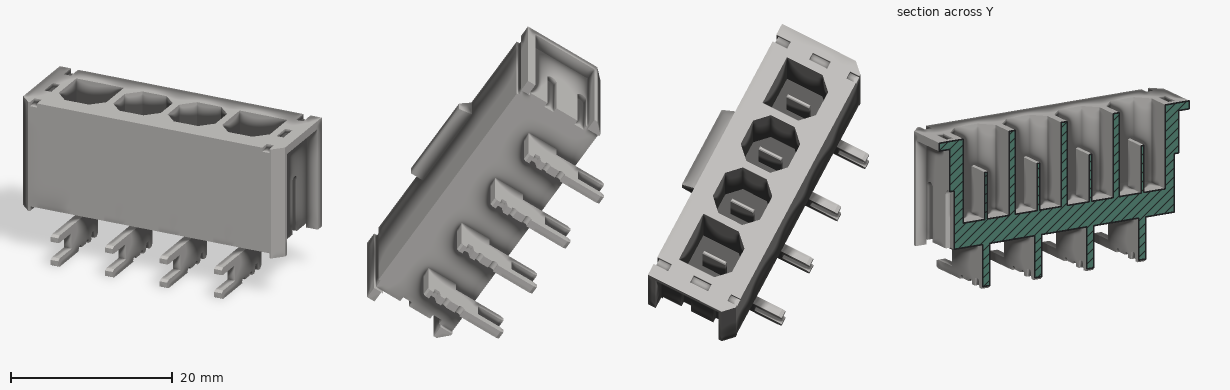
import cadquery as cq


length = 36.07
depth = 11.58
height = 14.7
corner_chamfer = 1.3
foot_height = 0.65
foot_length = 1.55
front_foot_depth = 1.73
rear_foot_depth = 1.3
middle_y = depth / 2
end_x = length / 2

recess_depth = 1.5
recess_front = front_foot_depth
recess_rear = 10.5
recess_top = 13.65
groove_width = 1.3
groove_top = 8.25
groove_depth = 0.65
groove_centers = (2.6, 7.05)

pitch = 7.5
contact_count = 4
cavity_width = 6.55
cavity_chamfer = 1.62
cavity_depth = 10.82

pocket_width = 0.97
pocket_depth = 0.55
pocket_center_x = end_x - foot_length - pocket_width / 2
pocket_spans = ((0, 1.3), (4.0, 6.5), (9.55, depth))
rear_channel_depth = 0.3

latch_base_width = 11.05
latch_tip_width = 10.75
latch_reach = 1.85
latch_top = 14.43
latch_tip_top = 12.45
latch_tip_bottom = 10.93
latch_bottom = 11.25

tail_thickness = 1.05
tail_rear = 7.35
tail_front = 3.25
tail_bottom = -5.1
fork_base = 0.0
prong_tip = -3.8
upper_prong_top = -0.85
upper_prong_bottom = -1.85
lower_prong_top = -3.95
tip_length = 0.45
tip_drop = 0.2
upper_prong_under_drop = 0.1
heel_width = 0.25
heel_height = 0.32
notch_top = -4.0
notch_top_edges = (6.4, 5.7)
notch_bottom_edges = (6.55, 5.5)
scallop_radius = 0.4
scallop_centers = (4.45, 2.38)
scallop_center_z = -4.9
scallop_flat = -4.87
blade_thickness = 0.45
blade_front = 4.22
blade_top = 10.1
blade_chamfer = 0.15


def box(x_range, y_range, z_range):
    """Box spanning the given ranges."""
    size = [high - low for low, high in (x_range, y_range, z_range)]
    return cq.Workplane("XY").box(*size, centered=False).translate((x_range[0], y_range[0], z_range[0]))


def profile_yz(points, thickness):
    """Side profile in the YZ plane, extruded equally to both sides of x = 0."""
    return cq.Workplane("YZ").polyline(points).close().extrude(thickness / 2, both=True)


def housing_block():
    block = box((-end_x, end_x), (0, depth), (0, height))
    block = block.edges("|Z and <Y").chamfer(corner_chamfer)
    foot_inner = end_x - foot_length
    block = block.cut(box((-foot_inner, foot_inner), (0, depth), (0, foot_height)))
    return block.cut(box((-end_x, end_x), (front_foot_depth, depth - rear_foot_depth), (0, foot_height)))


def left_end_recess():
    floor_x = -end_x + recess_depth
    recess = box((-end_x, floor_x), (recess_front, recess_rear), (0, recess_top))
    arch_z = groove_top - groove_width / 2
    for y in groove_centers:
        groove = box(
            (floor_x, floor_x + groove_depth),
            (y - groove_width / 2, y + groove_width / 2),
            (foot_height, arch_z),
        )
        arch = cq.Workplane("YZ", origin=(floor_x, y, arch_z)).circle(groove_width / 2).extrude(groove_depth)
        recess = recess.union(groove).union(arch)
    return recess


def left_pockets():
    x_range = (-pocket_center_x - pocket_width / 2, -pocket_center_x + pocket_width / 2)
    cutter = box(x_range, (depth - rear_channel_depth, depth), (0, height))
    for y_range in pocket_spans:
        cutter = cutter.union(box(x_range, y_range, (height - pocket_depth, height)))
    return cutter


def cavity(x, is_end):
    """Octagonal well; the end wells keep square rear corners."""
    half = cavity_width / 2
    well = box(
        (x - half, x + half),
        (middle_y - half, middle_y + half),
        (height - cavity_depth, height),
    )
    chamfered = "|Z and <Y" if is_end else "|Z"
    return well.edges(chamfered).chamfer(cavity_chamfer)


def latch():
    latch_tip_y = depth + latch_reach
    ramp = profile_yz(
        [
            (depth, latch_top),
            (latch_tip_y, latch_tip_top),
            (latch_tip_y, latch_tip_bottom),
            (depth, latch_bottom),
        ],
        latch_base_width,
    )
    taper = (
        cq.Workplane("XY")
        .polyline(
            [
                (-latch_base_width / 2, depth),
                (latch_base_width / 2, depth),
                (latch_tip_width / 2, latch_tip_y),
                (-latch_tip_width / 2, latch_tip_y),
            ]
        )
        .close()
        .extrude(height)
    )
    return ramp.intersect(taper)


def prong(top, bottom, under_drop):
    """Solder prong whose tip is bevelled by tip_drop above and under_drop below."""
    tip_start = prong_tip + tip_length
    return profile_yz(
        [
            (tail_front, top),
            (tip_start, top),
            (prong_tip, top - tip_drop),
            (prong_tip, bottom + under_drop),
            (tip_start, bottom),
            (tail_front, bottom),
        ],
        tail_thickness,
    )


def contact():
    body = profile_yz(
        [
            (tail_front, foot_height),
            (tail_front, upper_prong_top),
            (fork_base, upper_prong_top),
            (fork_base, tail_bottom),
            (tail_rear - heel_width, tail_bottom),
            (tail_rear, tail_bottom + heel_height),
            (tail_rear, foot_height),
        ],
        tail_thickness,
    )
    body = body.union(prong(upper_prong_top, upper_prong_bottom, upper_prong_under_drop))
    body = body.union(prong(lower_prong_top, tail_bottom, tip_drop))

    notch = profile_yz(
        [
            (notch_bottom_edges[0], tail_bottom),
            (notch_top_edges[0], notch_top),
            (notch_top_edges[1], notch_top),
            (notch_bottom_edges[1], tail_bottom),
        ],
        tail_thickness,
    )
    half = tail_thickness / 2
    body = body.cut(notch)
    body = body.cut(box((-half, half), scallop_centers[::-1], (tail_bottom, scallop_flat)))
    for y in scallop_centers:
        scallop = cq.Workplane("YZ", origin=(-half, y, scallop_center_z)).circle(scallop_radius)
        body = body.cut(scallop.extrude(tail_thickness))

    blade = box(
        (-blade_thickness / 2, blade_thickness / 2),
        (blade_front, tail_rear),
        (foot_height, blade_top),
    )
    return body.union(blade.faces(">Z").chamfer(blade_chamfer))


housing = housing_block()
for left_cutter in (left_end_recess(), left_pockets()):
    housing = housing.cut(left_cutter).cut(left_cutter.mirror("YZ"))
housing = housing.union(latch())

contact_xs = [(i - (contact_count - 1) / 2) * pitch for i in range(contact_count)]
for contact_x in contact_xs:
    housing = housing.cut(cavity(contact_x, contact_x in (contact_xs[0], contact_xs[-1])))

result = housing
for contact_x in contact_xs:
    result = result.union(contact().translate((contact_x, 0, 0)))